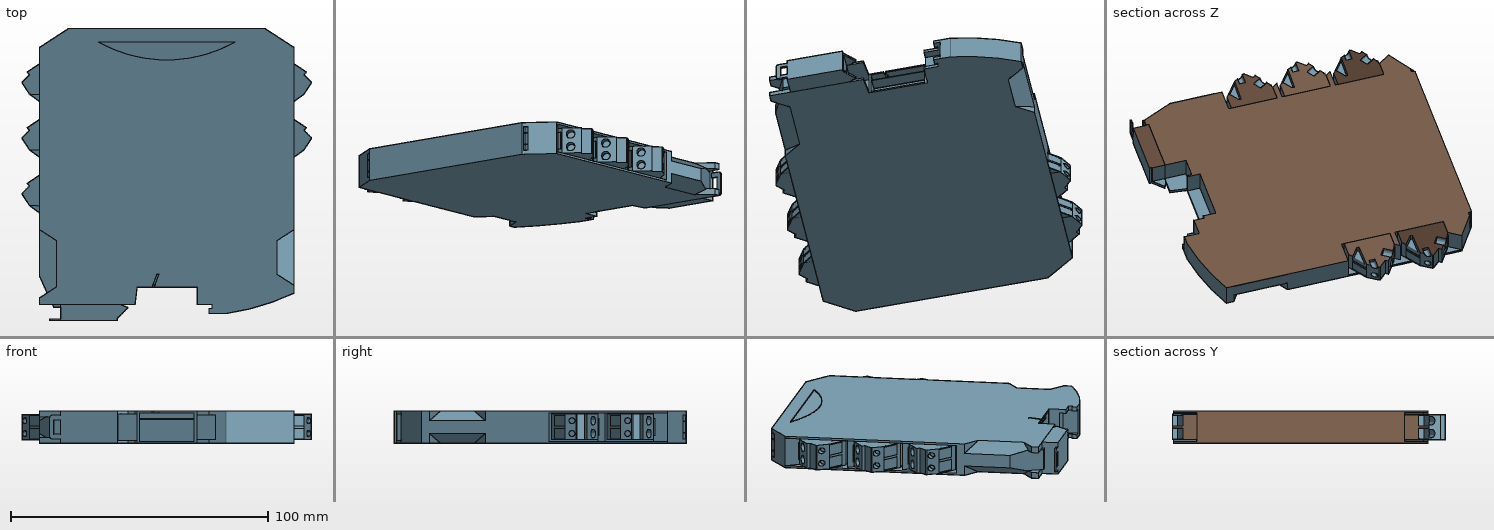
import cadquery as cq
HEIGHT = 113.7
THICKNESS = 12.6
HALF_THICKNESS = THICKNESS / 2
SIDE_X = 49.6
CORNER_X = 11.4
CORNER_Y = 7.4
BASE_Y = 6.3
SHEET = 0.8

SEAT_LEFT_X = -11.5
SEAT_RIGHT_X = 11.8
SEAT_SLANT = 0.8
SEAT_Y = 13.0

HOOK_TIP_X = 16.4
HOOK_LIP_X = 17.5
HOOK_LIP_Y = 4.8
HOOK_Y = 2.7
HOOK_FLAT_END_X = 23.1
HOOK_CORNER_Y = 10.7
HOOK_ARC_MID = (37.2, 5.9)
HOOK_POCKET_END_X = 19.0
HOOK_POCKET_WIDTH = 9.5
HOOK_POCKET_TOP_Y = 8.8

SLANT_TOP_Y = 17.4
SLANT_END_X = -44.0
SLANT_END_Y = 5.2
SLANT_RATIO = (SLANT_END_X + SIDE_X) / (SLANT_TOP_Y - SLANT_END_Y)
CHEEK_TIP_Y = 8.9
CHEEK_GAP = 8.0

GRIP_TOP_Y = 35.5
GRIP_DEPTH_X = 6.7
GRIP_RISE = 4.3
GRIP_EDGE_Z = 2.5
LEFT_GRIP_BOTTOM_Y = CHEEK_TIP_Y
RIGHT_GRIP_BOTTOM_Y = 13.8

BAY_DEPTH = 9.1
BAY_BOTTOM = -10.7
BAY_MOUTH_INSET = 3.5

FINGER_Y = 108.4
FINGER_HALF_WIDTH = 26.5
FINGER_DROP = 6.9
FINGER_DEPTH = 0.3

POCKET_HALF_X = 10.6
POCKET_DEPTH = 5.0
FIN_Z = 3.2
FIN_THICKNESS = 0.3
FIN_SETBACK = 0.9

SLIT_X = -5.3
SLIT_RUN = 1.9
SLIT_LENGTH = 5.2
SLIT_WIDTH = 0.8

NOTCH_BOTTOM_Y = 112.3
NOTCH_TOP_Y = 113.4
NOTCH_BANDS = [(-4.7, -2.4), (-2.2, 2.2), (2.4, 4.7)]

FOOT_LEFT_X = -41.3
FOOT_RIGHT_X = -19.2
FOOT_EDGE_Y = 0.9
FOOT_CHEEK_START_X = -19.0
FOOT_SLOT_WIDTH = 10.3
FOOT_SLOT_TOP_Y = 14.8
NOSE_TIP_X = -15.0
NOSE_TIP_Y = 5.1
NOSE_TOP_X = -17.7
TAB_LENGTH = 4.3
TAB_THICKNESS = 0.7
TAB_WIDTH = 9.3
TAB_CORNER_RADIUS = 1.1
TAB_WINDOW_LENGTH = 2.6
TAB_WINDOW_WIDTH = 5.5

PLUG_Z_RANGE = (-4.9, 5.0)
PLUG_PITCH = 21.66
FIRST_PLUG_Y = 92.7
PLUG_COUNTS = {-1: 3, 1: 2}
PLUG_PLACES = [
    (side, FIRST_PLUG_Y - row * PLUG_PITCH)
    for side, count in PLUG_COUNTS.items()
    for row in range(count)
]
PLUG_TOP = 8.3
PLUG_BOTTOM = -9.8
PLUG_OUTLINE = [
    (-BAY_DEPTH, PLUG_TOP),
    (-1.6, PLUG_TOP),
    (4.8, 4.1),
    (3.9, 3.1),
    (6.65, 0.2),
    (6.65, -0.2),
    (3.9, -4.5),
    (-3.3, PLUG_BOTTOM),
    (-BAY_DEPTH, PLUG_BOTTOM),
]
POLE_OFFSET = 2.5
SCREW_HOLE_DIAMETER = 3.3
SCREW_HOLE_AT = (1.0, 6.1)
SCREW_HOLE_NORMAL = (0.55, 0.83)
PROBE_HOLE_DIAMETER = 2.3
PROBE_HOLE_AT = (5.6, -1.8)
PROBE_HOLE_NORMAL = (1, 0)
HOLE_DEPTH = 3.4
WIRE_ENTRY_OUTLINE = [(3.9, -4.5), (-1.6, -8.5), (-5.7, -5.6), (-5.7, -4.8)]
WIRE_ENTRY_WIDTH = 4.1
LATCH_WIDTH = 6.6
LATCH_HEIGHT = 0.5
LATCH_FRONT = -2.0


def slab(points, z_low, z_high):
    """Straight-sided outline in XY, filled between two Z levels."""
    return cq.Workplane("XY").workplane(offset=z_low).polyline(points).close().extrude(z_high - z_low)


def block(x_range, y_range, z_range):
    corners = [(x, y) for x, y in zip((x_range[0], x_range[1], x_range[1], x_range[0]),
                                      (y_range[0], y_range[0], y_range[1], y_range[1]))]
    return slab(corners, *z_range)


def both_z(half):
    return (-half, half)


def placed_at_side(shape, side, tip_y):
    """Moves a shape made for X pointing out of the right side face to its row on either side."""
    if side < 0:
        shape = shape.rotate((0, 0, 0), (0, 1, 0), 180)
    return shape.translate((side * SIDE_X, tip_y, 0))


def plug_latch():
    return block(
        (-BAY_DEPTH, LATCH_FRONT), (PLUG_TOP, PLUG_TOP + LATCH_HEIGHT), both_z(LATCH_WIDTH / 2)
    )


def housing_plate():
    return (
        cq.Workplane("XY").workplane(offset=-HALF_THICKNESS)
        .moveTo(-SIDE_X, HEIGHT - CORNER_Y)
        .lineTo(-SIDE_X + CORNER_X, HEIGHT)
        .lineTo(SIDE_X - CORNER_X, HEIGHT)
        .lineTo(SIDE_X, HEIGHT - CORNER_Y)
        .lineTo(SIDE_X, HOOK_CORNER_Y)
        .threePointArc(HOOK_ARC_MID, (HOOK_FLAT_END_X, HOOK_Y))
        .lineTo(HOOK_TIP_X, HOOK_Y)
        .lineTo(HOOK_TIP_X, HOOK_LIP_Y)
        .lineTo(HOOK_LIP_X, HOOK_LIP_Y)
        .lineTo(HOOK_LIP_X, BASE_Y)
        .lineTo(SEAT_RIGHT_X, BASE_Y)
        .lineTo(SEAT_RIGHT_X, SEAT_Y)
        .lineTo(SEAT_LEFT_X, SEAT_Y)
        .lineTo(SEAT_LEFT_X - SEAT_SLANT, BASE_Y)
        .lineTo(-SIDE_X, BASE_Y)
        .close()
        .extrude(THICKNESS)
    )


def grip_cut(side, z_sign, bottom_y):
    """Wedge with a sloping floor, bounded by two slanted walls; side and z_sign are -1 or 1."""
    deep_x = side * (SIDE_X - GRIP_DEPTH_X)
    edge_x = side * SIDE_X
    outer_x = side * (SIDE_X + GRIP_DEPTH_X)
    footprint = slab(
        [
            (outer_x, GRIP_TOP_Y + GRIP_RISE),
            (deep_x, GRIP_TOP_Y - GRIP_RISE),
            (deep_x, bottom_y + GRIP_RISE),
            (outer_x, bottom_y - GRIP_RISE),
        ],
        -HALF_THICKNESS, HALF_THICKNESS,
    )
    wedge = (
        cq.Workplane("XZ")
        .polyline([
            (deep_x, z_sign * HALF_THICKNESS),
            (edge_x, z_sign * GRIP_EDGE_Z),
            (outer_x, z_sign * GRIP_EDGE_Z),
            (outer_x, z_sign * HALF_THICKNESS),
        ])
        .close()
        .extrude(-HEIGHT)
    )
    return footprint.intersect(wedge)


def slanted_core_cut():
    """Clears the lower left edge between the cheeks back to the slanted core."""
    return slab(
        [(-SIDE_X, SLANT_TOP_Y), (SLANT_END_X, SLANT_END_Y), (-SIDE_X, SLANT_END_Y)],
        -CHEEK_GAP / 2, CHEEK_GAP / 2,
    )


def cheek_tip_cut():
    """Takes the corner between the grip wall and the slanted edge off the full thickness."""
    wall_slope = GRIP_RISE / GRIP_DEPTH_X
    meet_x = -SIDE_X + SLANT_RATIO * (SLANT_TOP_Y - CHEEK_TIP_Y) / (1 + SLANT_RATIO * wall_slope)
    meet_y = CHEEK_TIP_Y + wall_slope * (meet_x + SIDE_X)
    return slab(
        [(-SIDE_X, SLANT_TOP_Y), (meet_x, meet_y), (-SIDE_X, CHEEK_TIP_Y)],
        -HALF_THICKNESS, HALF_THICKNESS,
    )


def core_lip():
    """Part of the core that hangs below the underside, in front of the foot."""
    return slab(
        [
            (SLANT_END_X - SLANT_RATIO * (BASE_Y - SLANT_END_Y), BASE_Y),
            (SLANT_END_X, SLANT_END_Y),
            (FOOT_LEFT_X, SLANT_END_Y),
            (FOOT_LEFT_X, BASE_Y),
        ],
        -CHEEK_GAP / 2, CHEEK_GAP / 2,
    )


def terminal_bay(side, tip_y):
    """Opening for one plug: a sloping wall above it, then a straight hole around its body."""
    mouth_top = HEIGHT - CORNER_Y - FIRST_PLUG_Y
    outline = [
        (0, mouth_top),
        (-BAY_MOUTH_INSET, PLUG_TOP),
        (-BAY_DEPTH, PLUG_TOP),
        (-BAY_DEPTH, BAY_BOTTOM),
        (0, BAY_BOTTOM),
    ]
    half_z = HALF_THICKNESS - SHEET
    bay = slab(outline, -half_z, half_z).union(plug_latch())
    return placed_at_side(bay, side, tip_y)


def finger_recess():
    return (
        cq.Workplane("XY").workplane(offset=HALF_THICKNESS - FINGER_DEPTH)
        .moveTo(-FINGER_HALF_WIDTH, FINGER_Y)
        .threePointArc((0, FINGER_Y - FINGER_DROP), (FINGER_HALF_WIDTH, FINGER_Y))
        .close()
        .extrude(FINGER_DEPTH)
    )


def seat_pocket():
    half_z = HALF_THICKNESS - SHEET
    pocket = block(both_z(POCKET_HALF_X), (SEAT_Y, SEAT_Y + POCKET_DEPTH), both_z(half_z))
    fin = block(
        both_z(POCKET_HALF_X),
        (SEAT_Y + FIN_SETBACK, SEAT_Y + POCKET_DEPTH),
        (FIN_Z - FIN_THICKNESS / 2, FIN_Z + FIN_THICKNESS / 2),
    )
    return pocket.cut(fin)


def seat_slit():
    return slab(
        [
            (SLIT_X - SLIT_WIDTH / 2, SEAT_Y),
            (SLIT_X + SLIT_WIDTH / 2, SEAT_Y),
            (SLIT_X + SLIT_RUN + SLIT_WIDTH / 2, SEAT_Y + SLIT_LENGTH),
            (SLIT_X + SLIT_RUN - SLIT_WIDTH / 2, SEAT_Y + SLIT_LENGTH),
        ],
        HALF_THICKNESS - SHEET, HALF_THICKNESS,
    )


def chamfer_notches(side):
    def chamfer_x(y):
        return SIDE_X - CORNER_X + (HEIGHT - y) * CORNER_X / CORNER_Y

    notches = cq.Workplane("XY")
    for band in NOTCH_BANDS:
        x_range = sorted((side * chamfer_x(NOTCH_TOP_Y), side * chamfer_x(NOTCH_BOTTOM_Y)))
        notches = notches.add(block(x_range, (NOTCH_BOTTOM_Y, NOTCH_TOP_Y), band))
    return notches.combine()


def foot_slot():
    """Slot between the cheeks of the foot's nose, running on into the housing up to the rail seat."""
    return block(
        (FOOT_CHEEK_START_X, SEAT_LEFT_X), (0, FOOT_SLOT_TOP_Y), both_z(FOOT_SLOT_WIDTH / 2)
    )


def make_housing():
    housing = housing_plate()
    for z_sign in (-1, 1):
        housing = housing.cut(grip_cut(-1, z_sign, LEFT_GRIP_BOTTOM_Y))
        housing = housing.cut(grip_cut(1, z_sign, RIGHT_GRIP_BOTTOM_Y))
    housing = housing.cut(cheek_tip_cut()).cut(slanted_core_cut()).union(core_lip())
    for side in (-1, 1):
        housing = housing.cut(chamfer_notches(side))
    for side, tip_y in PLUG_PLACES:
        housing = housing.cut(terminal_bay(side, tip_y))
    hook_pocket = block(
        (SEAT_RIGHT_X, HOOK_POCKET_END_X), (HOOK_Y, HOOK_POCKET_TOP_Y), both_z(HOOK_POCKET_WIDTH / 2)
    )
    housing = housing.cut(hook_pocket).cut(foot_slot())
    return housing.cut(finger_recess()).cut(seat_pocket()).cut(seat_slit())


def make_foot():
    body = slab(
        [
            (FOOT_LEFT_X, 0),
            (FOOT_RIGHT_X, 0),
            (FOOT_RIGHT_X, FOOT_EDGE_Y),
            (NOSE_TIP_X, NOSE_TIP_Y),
            (NOSE_TOP_X, BASE_Y),
            (FOOT_LEFT_X, BASE_Y),
        ],
        -HALF_THICKNESS, HALF_THICKNESS,
    )
    tab = (
        block((FOOT_LEFT_X - TAB_LENGTH, FOOT_LEFT_X), (0, TAB_THICKNESS), both_z(TAB_WIDTH / 2))
        .edges("|Y and <X").fillet(TAB_CORNER_RADIUS)
    )
    window = block(
        (FOOT_LEFT_X - TAB_WINDOW_LENGTH, FOOT_LEFT_X), (0, TAB_THICKNESS), both_z(TAB_WINDOW_WIDTH / 2)
    )
    return body.cut(foot_slot()).union(tab.cut(window))


def facing_plane(at, normal, z):
    return cq.Plane(origin=(at[0], at[1], z), xDir=(0, 0, 1), normal=(normal[0], normal[1], 0))


def make_plug():
    """Plug for the right side, with its tip at Y = 0 and the side face of the housing at X = 0."""
    plug = slab(PLUG_OUTLINE, *PLUG_Z_RANGE)
    plug = plug.union(plug_latch())
    for z in (-POLE_OFFSET, POLE_OFFSET):
        screw = (
            cq.Workplane(facing_plane(SCREW_HOLE_AT, SCREW_HOLE_NORMAL, z))
            .circle(SCREW_HOLE_DIAMETER / 2).extrude(HOLE_DEPTH, both=True)
        )
        probe = (
            cq.Workplane(facing_plane(PROBE_HOLE_AT, PROBE_HOLE_NORMAL, z))
            .circle(PROBE_HOLE_DIAMETER / 2).extrude(HOLE_DEPTH, both=True)
        )
        wire_entry = slab(WIRE_ENTRY_OUTLINE, z - WIRE_ENTRY_WIDTH / 2, z + WIRE_ENTRY_WIDTH / 2)
        plug = plug.cut(screw).cut(probe).cut(wire_entry)
    return plug


housing = make_housing()
foot = make_foot()
plugs = [placed_at_side(make_plug(), side, tip_y).val() for side, tip_y in PLUG_PLACES]

result = cq.Compound.makeCompound([housing.val(), foot.val(), *plugs])